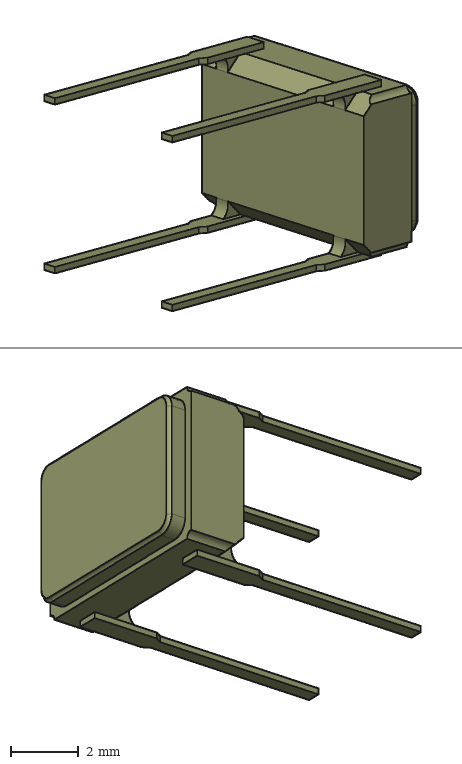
import cadquery as cq
import math

TOTAL_LENGTH = 9.55

HOUSING_WIDTH = 7.01
HOUSING_HEIGHT = 5.0
HOUSING_DEPTH = 1.92
FRONT_CHAMFER = 0.52
CORNER_NOTCH_RADIUS = 0.21

CAP_WIDTH = 6.4
CAP_HEIGHT = 4.565
CAP_THICKNESS = 0.62
CAP_CORNER_RADIUS = 0.51
CAP_COVE_DEPTH = 0.13
CAP_COVE_INSET = 0.1
CAP_COVE_RADIUS = 0.16
CAP_COVE_CLEARANCE = 0.1

LEAD_PITCH = 5.08
LEAD_THICKNESS = 0.2
LEAD_HEAD_WIDTH = 0.73
LEAD_TAIL_WIDTH = 0.47
LEAD_LENGTH = 8.27
LEAD_TAIL_LENGTH = 5.78
LEAD_TAPER_LENGTH = 0.23

GUSSET_WIDTH = 0.52
GUSSET_OVERHANG = 0.18
GUSSET_ARC_RADIUS = 0.52

HOUSING_BACK = TOTAL_LENGTH - CAP_THICKNESS
HOUSING_FRONT = HOUSING_BACK - HOUSING_DEPTH
HALF_HEIGHT = HOUSING_HEIGHT / 2
LEAD_CENTERS = (-LEAD_PITCH / 2, LEAD_PITCH / 2)


def arc_midpoint(start, end, radius):
    """Middle of the minor arc from start to end that bulges left of that direction."""
    chord_x = end[0] - start[0]
    chord_y = end[1] - start[1]
    chord = math.hypot(chord_x, chord_y)
    bulge = radius - math.sqrt(radius**2 - (chord / 2) ** 2)
    return (
        (start[0] + end[0]) / 2 - bulge * chord_y / chord,
        (start[1] + end[1]) / 2 + bulge * chord_x / chord,
    )


def make_block():
    """Block with its long front edges chamfered and a round notch along each corner."""
    block = (
        cq.Workplane("XY")
        .box(HOUSING_WIDTH, HOUSING_DEPTH, HOUSING_HEIGHT)
        .translate((0, HOUSING_FRONT + HOUSING_DEPTH / 2, 0))
        .faces("<Y").edges("|X").chamfer(FRONT_CHAMFER)
    )
    notches = (
        cq.Workplane("XZ", origin=(0, HOUSING_BACK, 0))
        .rect(HOUSING_WIDTH, HOUSING_HEIGHT, forConstruction=True)
        .vertices()
        .circle(CORNER_NOTCH_RADIUS)
        .extrude(HOUSING_DEPTH)
    )
    return block.cut(notches)


def make_cap():
    """Rounded plate with a concave cove swept round its outer rim."""
    plate = (
        cq.Workplane("XZ", origin=(0, TOTAL_LENGTH, 0))
        .rect(CAP_WIDTH, CAP_HEIGHT)
        .extrude(CAP_THICKNESS)
        .edges("|Y").fillet(CAP_CORNER_RADIUS)
    )
    rim = plate.faces(">Y").wires()

    side = CAP_WIDTH / 2
    cove_start = (side, TOTAL_LENGTH - CAP_COVE_DEPTH)
    cove_end = (side - CAP_COVE_INSET, TOTAL_LENGTH)
    cove_outside = side + CAP_COVE_CLEARANCE
    cove_top = TOTAL_LENGTH + CAP_COVE_CLEARANCE
    cove = (
        cq.Workplane("XY")
        .moveTo(*cove_start)
        .threePointArc(arc_midpoint(cove_start, cove_end, CAP_COVE_RADIUS), cove_end)
        .lineTo(cove_end[0], cove_top)
        .lineTo(cove_outside, cove_top)
        .lineTo(cove_outside, cove_start[1])
        .close()
        .sweep(rim)
    )
    return plate.cut(cove)


def make_gusset(lead_center):
    """Upper web in the front chamfer, flush with the -X edge of its lead.

    Its front is a concave arc from the chamfer edge to the lead.
    """
    arc_start = (HOUSING_FRONT, HALF_HEIGHT - FRONT_CHAMFER)
    arc_end = (HOUSING_FRONT - GUSSET_OVERHANG, HALF_HEIGHT)
    arc_middle = arc_midpoint(arc_end, arc_start, GUSSET_ARC_RADIUS)
    start_x = lead_center - LEAD_HEAD_WIDTH / 2
    return (
        cq.Workplane("YZ", origin=(start_x, 0, 0))
        .moveTo(*arc_end)
        .threePointArc(arc_middle, arc_start)
        .lineTo(HOUSING_FRONT + FRONT_CHAMFER, HALF_HEIGHT)
        .close()
        .extrude(GUSSET_WIDTH)
    )


def make_housing():
    """Block, cap and four gussets as one solid body."""
    housing = make_block().union(make_cap())
    for lead_center in LEAD_CENTERS:
        upper_gusset = make_gusset(lead_center)
        lower_gusset = upper_gusset.mirror("XY")
        housing = housing.union(upper_gusset).union(lower_gusset)
    return housing


def make_lead(lead_center, bottom):
    """Flat lead with a wide head that tapers to a narrow tail."""
    half_head = LEAD_HEAD_WIDTH / 2
    half_tail = LEAD_TAIL_WIDTH / 2
    head_start = LEAD_TAIL_LENGTH + LEAD_TAPER_LENGTH
    return (
        cq.Workplane("XY", origin=(lead_center, 0, bottom))
        .moveTo(-half_tail, 0)
        .lineTo(half_tail, 0)
        .lineTo(half_tail, LEAD_TAIL_LENGTH)
        .lineTo(half_head, head_start)
        .lineTo(half_head, LEAD_LENGTH)
        .lineTo(-half_head, LEAD_LENGTH)
        .lineTo(-half_head, head_start)
        .lineTo(-half_tail, LEAD_TAIL_LENGTH)
        .close()
        .extrude(LEAD_THICKNESS)
    )


housing = make_housing()

leads = []
for lead_bottom in (HALF_HEIGHT, -HALF_HEIGHT - LEAD_THICKNESS):
    for center in LEAD_CENTERS:
        leads.append(make_lead(center, lead_bottom).val())

result = cq.Compound.makeCompound([housing.solids().val(), *leads])